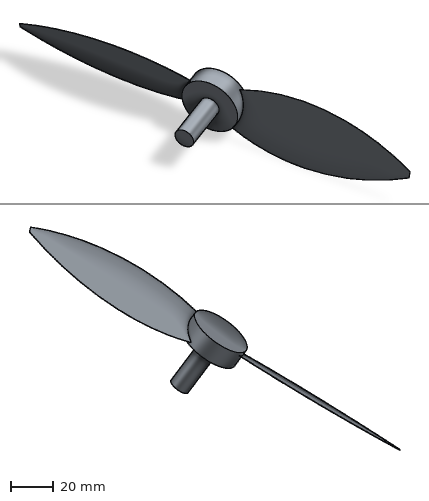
import cadquery as cq

span = 210.0
hub_diameter = 30.0
hub_length = 10.0
shaft_diameter = 10.0
shaft_length = 25.0

pitch_angle = 18.5
blade_thickness = 0.2
blade_offset = 0.52

tip_radius = span / 2
root_station, root_half_width = 11.3, 10.3
widest_station, widest_half_width = 46.2, 16.8
outer_station, outer_half_width = 75.5, 13.2
tip_half_width = 1.7


def make_hub_and_shaft():
    """Disc with a coaxial shaft standing on its -Y face."""
    front_face = -hub_length / 2
    hub = cq.Workplane("XZ", origin=(0, -front_face, 0)).circle(hub_diameter / 2).extrude(hub_length)
    shaft = cq.Workplane("XZ", origin=(0, front_face, 0)).circle(shaft_diameter / 2).extrude(shaft_length)
    return hub.union(shaft)


def make_blade():
    """Leaf-shaped plate along +X, shifted across its width and then pitched."""
    upper_edge = [
        (root_station, root_half_width),
        (widest_station, widest_half_width),
        (outer_station, outer_half_width),
        (tip_radius, tip_half_width),
    ]
    lower_edge = [(radius, -half_width) for radius, half_width in reversed(upper_edge)]
    plate = (
        cq.Workplane("XZ")
        .moveTo(*upper_edge[0])
        .spline(upper_edge[1:], includeCurrent=True)
        .lineTo(*lower_edge[0])
        .spline(lower_edge[1:], includeCurrent=True)
        .close()
        .extrude(blade_thickness / 2, both=True)
    )
    return plate.translate((0, 0, -blade_offset)).rotate((0, 0, 0), (1, 0, 0), -pitch_angle)


blade = make_blade()
opposite_blade = blade.rotate((0, 0, 0), (0, 1, 0), 180)
result = make_hub_and_shaft().union(blade).union(opposite_blade)